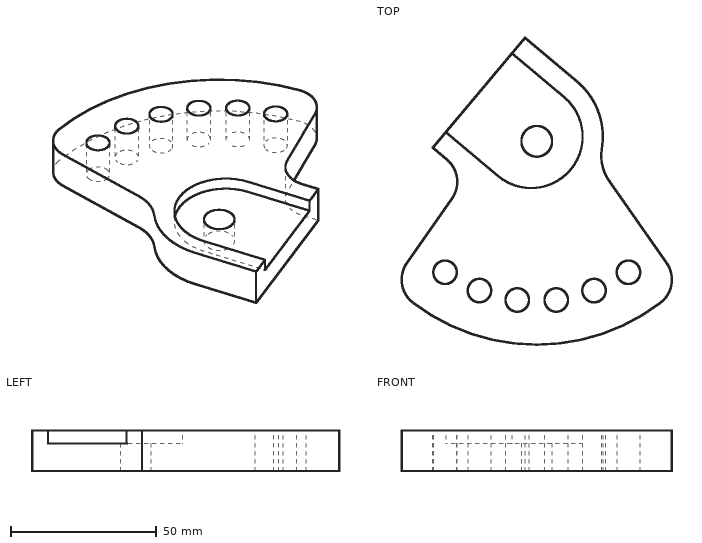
import cadquery as cq
import math

thickness = 14.0
pivot_diameter = 10.5

head_angle = 140.0
head_end_distance = 26.0
nose_offset = 2.5
pocket_radius = 17.7
pocket_depth = 4.5
wall = 7.0
head_radius = pocket_radius + wall

fan_radius = 70.0
corner_radius = 10.0
left_neck_radius = 10.0
right_neck_radius = 15.0
hole_count = 6
hole_pitch_angle = 14.0
hole_circle_radius = 55.0
hole_diameter = 8.0
flank_angle = hole_pitch_angle * (hole_count - 1) / 2
corner_angle = 37.5

corner_centre_distance = fan_radius - corner_radius
flank_offset = corner_radius + corner_centre_distance * math.sin(math.radians(corner_angle - flank_angle))


def polar(radius, angle):
    """Point at a radius and an angle in degrees from +X."""
    return (radius * math.cos(math.radians(angle)), radius * math.sin(math.radians(angle)))


def point_on_flank(side, along):
    """Point on the right (side = 1) or left (side = -1) flank, measured along it from the pivot's foot."""
    flank = math.radians(flank_angle)
    x = flank_offset * math.cos(flank) + along * math.sin(flank)
    y = flank_offset * math.sin(flank) - along * math.cos(flank)
    return (side * x, y)


def round_nosed_bar(radius, height):
    """Bar along the head axis, from the flat end to a tangent round nose."""
    bar_length = head_end_distance - nose_offset
    bar = (
        cq.Workplane("XY")
        .moveTo(bar_length, -radius)
        .lineTo(bar_length, radius)
        .lineTo(0, radius)
        .threePointArc((-radius, 0), (0, -radius))
        .close()
        .extrude(height)
    )
    return bar.translate((nose_offset, 0, 0)).rotate((0, 0, 0), (0, 0, 1), head_angle)


def make_fan():
    """Sector between the two flanks, with its outer corners rounded."""
    apex = (0, flank_offset / math.sin(math.radians(flank_angle)))
    arc_end_along = math.sqrt(fan_radius**2 - flank_offset**2)
    fan = (
        cq.Workplane("XY")
        .moveTo(*apex)
        .lineTo(*point_on_flank(-1, arc_end_along))
        .threePointArc((0, -fan_radius), point_on_flank(1, arc_end_along))
        .close()
        .extrude(thickness)
    )
    fan = fan.edges("|Z and <X").fillet(corner_radius)
    return fan.edges("|Z and >X").fillet(corner_radius)


def left_neck_corner():
    """Where the left flank meets the straight lower side of the head."""
    side_normal = polar(1, head_angle - 90)
    foot = point_on_flank(-1, 0)
    unit_end = point_on_flank(-1, 1)
    foot_height = foot[0] * side_normal[0] + foot[1] * side_normal[1]
    unit_height = unit_end[0] * side_normal[0] + unit_end[1] * side_normal[1]
    return point_on_flank(-1, (-head_radius - foot_height) / (unit_height - foot_height))


def right_neck_corner():
    """Where the right flank meets the round nose of the head."""
    nose_x, nose_y = polar(nose_offset, head_angle)
    flank = math.radians(flank_angle)
    nose_across = nose_x * math.cos(flank) + nose_y * math.sin(flank)
    nose_along = nose_x * math.sin(flank) - nose_y * math.cos(flank)
    half_chord = math.sqrt(head_radius**2 - (flank_offset - nose_across) ** 2)
    return point_on_flank(1, nose_along + half_chord)


def make_plate():
    """Head and fan joined, with the two inner corners of the neck rounded."""
    plate = round_nosed_bar(head_radius, thickness).union(make_fan())
    neck_corners = ((left_neck_corner(), left_neck_radius), (right_neck_corner(), right_neck_radius))
    for (x, y), radius in neck_corners:
        corner_edge = cq.selectors.NearestToPointSelector((x, y, thickness / 2))
        plate = plate.edges("|Z").edges(corner_edge).fillet(radius)
    return plate


def cut_pocket(plate):
    """Recess in the top of the head, open at its flat end."""
    floor_height = thickness - pocket_depth
    return plate.cut(round_nosed_bar(pocket_radius, pocket_depth).translate((0, 0, floor_height)))


def cut_holes(plate):
    """Pivot hole and the arc of index holes, all through the plate."""
    first_angle = -90 - flank_angle
    hole_centres = [polar(hole_circle_radius, first_angle + i * hole_pitch_angle) for i in range(hole_count)]
    pivot = cq.Workplane("XY").circle(pivot_diameter / 2).extrude(thickness)
    index_holes = cq.Workplane("XY").pushPoints(hole_centres).circle(hole_diameter / 2).extrude(thickness)
    return plate.cut(pivot).cut(index_holes)


result = cut_holes(cut_pocket(make_plate()))